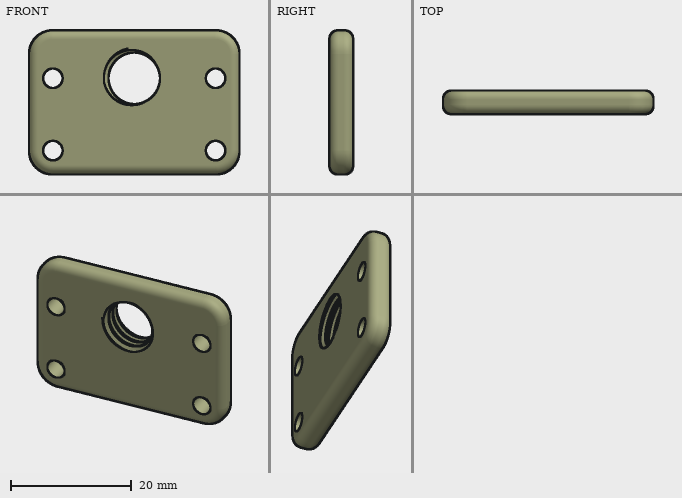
import cadquery as cq

WIDTH = 35.0
HEIGHT = 24.0
THICKNESS = 4.0
CORNER_RADIUS = 4.0
EDGE_FILLET = 1.5

MOUNT_DIAMETER = 3.2
MOUNT_INSET = 4.0
MOUNT_ROW_SPACING = 12.0
MOUNT_X = WIDTH / 2 - MOUNT_INSET
LOWER_ROW_Z = -HEIGHT / 2 + MOUNT_INSET
UPPER_ROW_Z = LOWER_ROW_Z + MOUNT_ROW_SPACING

THREAD_Z = UPPER_ROW_Z
BORE_RADIUS = 4.25
ROOT_RADIUS = 5.05
PITCH = 1.5
CREST_FLAT = PITCH / 4
ROOT_FLAT = PITCH / 8
BORE_OVERLAP = 0.1
TURNS_BEYOND_FACE = 1
ROOT_ANGLE = 165.0


def make_plate():
    plate = cq.Workplane("XY").box(WIDTH, THICKNESS, HEIGHT)
    plate = plate.edges("|Y").fillet(CORNER_RADIUS)
    return plate.faces("<Y or >Y").edges().fillet(EDGE_FILLET)


def through_holes(radius, points):
    """Cylinders along Y at the given (x, z) points."""
    front = cq.Workplane("XZ").workplane(offset=-THICKNESS)
    return front.pushPoints(points).circle(radius).extrude(2 * THICKNESS)


def make_thread_groove():
    """Helical V groove with a flat root, around an axis along Y."""
    lead_in = TURNS_BEYOND_FACE * PITCH
    path = cq.Wire.makeHelix(PITCH, THICKNESS + 2 * lead_in, BORE_RADIUS)
    half_root = ROOT_FLAT / 2
    half_mouth = (PITCH - CREST_FLAT) / 2
    flank_slope = (half_mouth - half_root) / (ROOT_RADIUS - BORE_RADIUS)
    inner_radius = BORE_RADIUS - BORE_OVERLAP
    half_inner = half_mouth + flank_slope * BORE_OVERLAP
    profile = [
        (inner_radius, -half_inner),
        (ROOT_RADIUS, -half_root),
        (ROOT_RADIUS, half_root),
        (inner_radius, half_inner),
    ]
    section = cq.Workplane("XZ").polyline(profile).close()
    groove = section.sweep(cq.Workplane(obj=path), isFrenet=True)
    groove = groove.rotate((0, 0, 0), (1, 0, 0), -90)
    groove = groove.rotate((0, 0, 0), (0, 1, 0), -ROOT_ANGLE)
    return groove.translate((0, -THICKNESS / 2 - lead_in, THREAD_Z))


mount_points = [(x, z) for x in (-MOUNT_X, MOUNT_X) for z in (LOWER_ROW_Z, UPPER_ROW_Z)]

result = make_plate()
result = result.cut(through_holes(MOUNT_DIAMETER / 2, mount_points))
result = result.cut(through_holes(BORE_RADIUS, [(0, THREAD_Z)]))
result = result.cut(make_thread_groove())